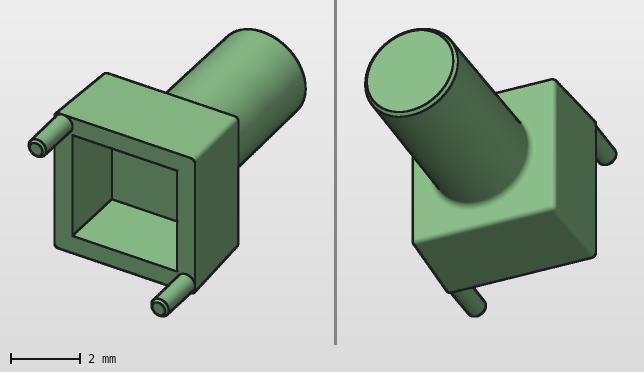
import cadquery as cq
import math

housing_side = 4.7
housing_depth = 2.667
housing_draft = 2.0
housing_edge_radius = 0.15

pocket_side = 3.5
pocket_depth = 2.08
pocket_draft = 2.0

stem_length = 5.08
stem_base_radius = 1.5
stem_draft = 0.5
stem_root_radius = 0.2
stem_tip_chamfer = 0.1

pin_length = 1.524
pin_base_radius = 0.305
pin_draft = 0.5
pin_tip_chamfer = 0.08
pin_offset = housing_side / 2 - pin_base_radius


def draft_inset(length, angle):
    """Sideways shift of a drafted wall over the given length."""
    return length * math.tan(math.radians(angle))


def tapered_block(side, depth, draft):
    """Square block from Y = 0 toward +Y, shrinking with the draft angle."""
    open_face = cq.Workplane("XZ").rect(side, side)
    return open_face.extrude(-depth, taper=draft)


def tapered_pin(base_radius, length, draft, tip_chamfer, tip_face, direction):
    """Tapered round pin from the origin along Y, with its tip edge chamfered.

    direction is +1 or -1 along Y, and tip_face is the selector of the end face there.
    """
    tip = base_radius - draft_inset(length, draft)
    end = direction * length
    profile = cq.Workplane("YZ").polyline([(0, 0), (0, base_radius), (end, tip), (end, 0)])
    pin = profile.close().revolve(360, (0, 0), (1, 0))
    return pin.faces(tip_face).edges().chamfer(tip_chamfer)


def make_housing():
    block = tapered_block(housing_side, housing_depth, housing_draft)
    return block.edges("not <Y").fillet(housing_edge_radius)


def make_stem():
    stem = tapered_pin(stem_base_radius, stem_length, stem_draft, stem_tip_chamfer, ">Y", 1)
    return stem.translate((0, housing_depth, 0))


def make_locating_pin(x, z):
    pin = tapered_pin(pin_base_radius, pin_length, pin_draft, pin_tip_chamfer, "<Y", -1)
    return pin.translate((x, 0, z))


def round_stem_root(body):
    """Fillet the circle where the stem meets the back of the housing."""
    root_circle = cq.selectors.RadiusNthSelector(-1)
    return body.edges("%CIRCLE").edges(root_circle).fillet(stem_root_radius)


result = round_stem_root(make_housing().union(make_stem()))
result = result.cut(tapered_block(pocket_side, pocket_depth, pocket_draft))
for side in (-1, 1):
    result = result.union(make_locating_pin(side * pin_offset, -side * pin_offset))